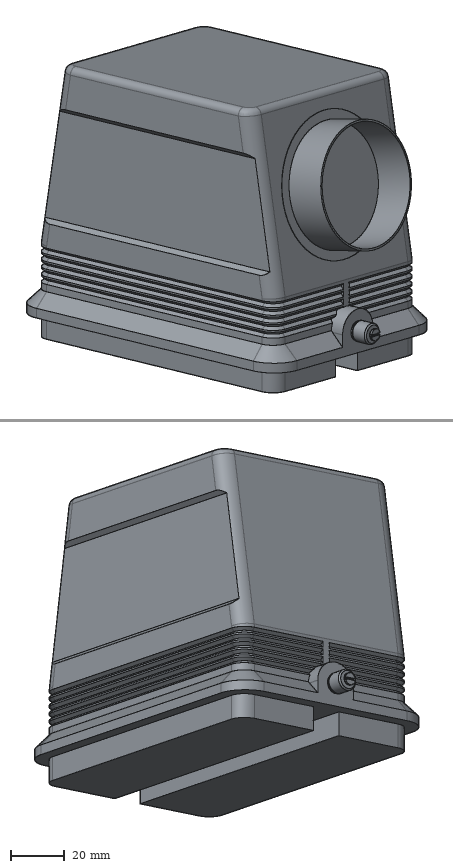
import cadquery as cq
import math

body_length = 120.9
body_width = 79.6
body_height = 107.0
corner_radius = 6.0
top_round = 2.9
lean_start_z = 36.4
lean_angle = math.radians(10)

recess_depth = 1.7
recess_low_z = 44.7
recess_high_z = 90.3
recess_slope = 1.7

flange_length = 132.3
flange_width = 90.0
flange_radius = 11.5
flange_bottom_z = 9.2
flange_edge_z = 13.0
flange_top_z = 18.4

groove_count = 5
groove_depth = 1.4
groove_half_height = 1.13
first_groove_z = 22.3
last_groove_z = 34.0
groove_pitch = (last_groove_z - first_groove_z) / (groove_count - 1)

notch_width = 11.9
rib_width = 3.2
rib_top_z = 35.5

pin_z = 17.8
boss_width = 16.7
pin_radius = 4.0
pin_collar_radius = 3.8
pin_collar_length = 0.9
pin_shoulder_x = 73.7
pin_chamfer = 0.6
pin_neck_radius = 1.8
pin_head_diameter = 4.7
pin_head_x = 74.3
pin_tip_x = 75.2
pin_slot_height = 0.8

entry_z = 71.8
entry_length = 16.4
entry_diameter = 49.0
entry_wall = 0.8
seat_diameter = 56.7
seat_height = 0.2
seat_embed = 1.5

half_length = body_length / 2
half_width = body_width / 2
boss_radius = boss_width / 2
pin_head_radius = pin_head_diameter / 2
flange_half_length = flange_length / 2
body_size = (body_length, body_width, corner_radius)
flange_size = (flange_length, flange_width, flange_radius)


def wall_x(z):
    """Distance of the leaning end wall from the middle plane at height z."""
    return half_length - (z - lean_start_z) * math.tan(lean_angle)


def rounded_rectangle(length, width, radius):
    return cq.Sketch().rect(length, width).vertices().fillet(radius)


def rounded_loft(low_z, low_size, high_z, high_size):
    """Straight-sided transition between two (length, width, radius) outlines."""
    return (
        cq.Workplane("XY")
        .placeSketch(
            rounded_rectangle(*low_size).moved(cq.Location(cq.Vector(0, 0, low_z))),
            rounded_rectangle(*high_size).moved(cq.Location(cq.Vector(0, 0, high_z))),
        )
        .loft(ruled=True)
    )


def make_body():
    top_x = wall_x(body_height)
    outline = [
        (-half_length, 0),
        (half_length, 0),
        (half_length, lean_start_z),
        (top_x, body_height),
        (-top_x, body_height),
        (-half_length, lean_start_z),
    ]
    body = cq.Workplane("XZ").polyline(outline).close().extrude(half_width, both=True)
    body = body.edges("#Y and (not |X)").fillet(corner_radius)
    return body.faces(">Z").edges().fillet(top_round)


def make_side_recess(side):
    floor_y = half_width - recess_depth
    outline = [
        (side * floor_y, recess_low_z + recess_slope),
        (side * half_width, recess_low_z),
        (side * (half_width + recess_depth), recess_low_z),
        (side * (half_width + recess_depth), recess_high_z),
        (side * half_width, recess_high_z),
        (side * floor_y, recess_high_z - recess_slope),
    ]
    return cq.Workplane("YZ").polyline(outline).close().extrude(body_length, both=True)


def make_flange():
    edge = (
        cq.Workplane("XY", origin=(0, 0, flange_bottom_z))
        .placeSketch(rounded_rectangle(*flange_size))
        .extrude(flange_edge_z - flange_bottom_z)
    )
    return edge.union(rounded_loft(flange_edge_z, flange_size, flange_top_z, body_size))


def make_groove(z):
    low_z = z - groove_half_height
    high_z = z + groove_half_height
    root_size = (
        body_length - 2 * groove_depth,
        body_width - 2 * groove_depth,
        corner_radius - groove_depth,
    )
    core = rounded_loft(low_z, body_size, z, root_size).union(
        rounded_loft(z, root_size, high_z, body_size)
    )
    slab = cq.Workplane("XY", origin=(0, 0, low_z)).rect(flange_length, flange_width)
    return slab.extrude(high_z - low_z).cut(core)


def make_rib(side):
    rib_depth = 2 * groove_depth
    return (
        cq.Workplane("XY", origin=(side * (half_length - rib_depth / 2), 0, pin_z))
        .rect(rib_depth, rib_width)
        .extrude(rib_top_z - pin_z)
    )


def make_boss(side):
    """Round-topped plate flush with the end of the flange."""
    boss_depth = flange_half_length - half_length + 2 * groove_depth
    return (
        cq.Workplane("YZ", origin=(side * flange_half_length, 0, 0))
        .moveTo(-boss_radius, flange_bottom_z)
        .lineTo(-boss_radius, pin_z)
        .threePointArc((0, pin_z + boss_radius), (boss_radius, pin_z))
        .lineTo(boss_radius, flange_bottom_z)
        .close()
        .extrude(-side * boss_depth)
    )


def make_pin(side):
    """Pin turned about the X axis line through the boss, with a slotted head."""
    collar_x = flange_half_length + pin_collar_length
    profile = [
        (half_length, 0),
        (half_length, pin_collar_radius),
        (collar_x, pin_collar_radius),
        (collar_x, pin_radius),
        (pin_shoulder_x - pin_chamfer, pin_radius),
        (pin_shoulder_x, pin_radius - pin_chamfer),
        (pin_shoulder_x, pin_neck_radius),
        (pin_head_x, pin_neck_radius),
        (pin_head_x, pin_head_radius),
        (pin_tip_x, pin_head_radius),
        (pin_tip_x, 0),
    ]
    pin = (
        cq.Workplane("XZ", origin=(0, 0, pin_z))
        .polyline([(side * x, radius) for x, radius in profile])
        .close()
        .revolve(360, (0, 0), (1, 0))
    )
    slot_length = pin_tip_x - pin_head_x
    slot = cq.Workplane("XY").box(slot_length, pin_head_diameter, pin_slot_height)
    return pin.cut(slot.translate((side * (pin_tip_x - slot_length / 2), 0, pin_z)))


def make_notch():
    return cq.Workplane("XY").rect(flange_length, notch_width).extrude(flange_bottom_z)


wall_plane = cq.Plane(
    origin=(wall_x(entry_z), 0, entry_z),
    xDir=(0, 1, 0),
    normal=(math.cos(lean_angle), 0, math.sin(lean_angle)),
)


def make_cable_entry():
    """Open tube on a thin round seat, blind at the end wall."""
    seat = (
        cq.Workplane(wall_plane)
        .workplane(offset=-seat_embed)
        .circle(seat_diameter / 2)
        .extrude(seat_embed + seat_height)
    )
    tube = (
        cq.Workplane(wall_plane)
        .circle(entry_diameter / 2)
        .circle(entry_diameter / 2 - entry_wall)
        .extrude(entry_length)
    )
    return seat.union(tube)


result = make_body()
for side in (-1, 1):
    result = result.cut(make_side_recess(side))
for index in range(groove_count):
    result = result.cut(make_groove(first_groove_z + index * groove_pitch))
result = result.union(make_flange())
for side in (-1, 1):
    result = result.union(make_rib(side)).union(make_boss(side)).union(make_pin(side))
result = result.cut(make_notch()).union(make_cable_entry())